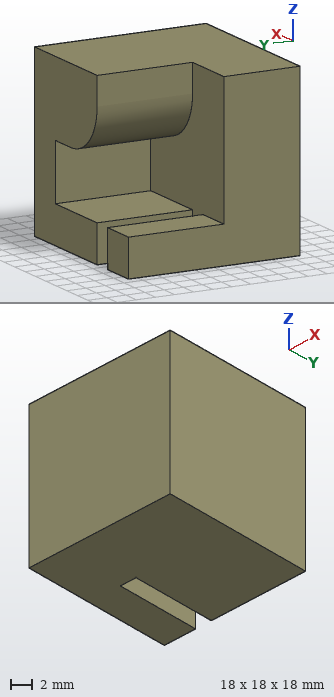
import cadquery as cq

side = 18.0
front_wall = 8.0
ledge = 4.0
slot_width = 2.0
nose_radius = 5.0
overhang_bottom = 10.0
rear_wall = 4.0

block_face = ledge + slot_width
pocket_end = side - rear_wall
nose_top = overhang_bottom + nose_radius
cut_length = side - front_wall


def corner_box(x_start, x_end, z_start, z_end):
    """Box from the front wall to the +Y face."""
    return (
        cq.Workplane("XY")
        .box(x_end - x_start, cut_length, z_end - z_start, centered=False)
        .translate((x_start, front_wall, z_start))
    )


def undercut():
    """Pocket below the overhang, with the convex nose as its upper boundary."""
    nose_end = block_face + nose_radius
    return (
        cq.Workplane("XZ", origin=(0, front_wall, 0))
        .moveTo(block_face, ledge)
        .lineTo(pocket_end, ledge)
        .lineTo(pocket_end, overhang_bottom)
        .lineTo(nose_end, overhang_bottom)
        .radiusArc((block_face, nose_top), nose_radius)
        .close()
        .extrude(-cut_length)
    )


cube = cq.Workplane("XY").box(side, side, side, centered=False)
above_bar = corner_box(0, block_face, ledge, side)
slot = corner_box(ledge, block_face, 0, side)

result = cube.cut(above_bar).cut(slot).cut(undercut())